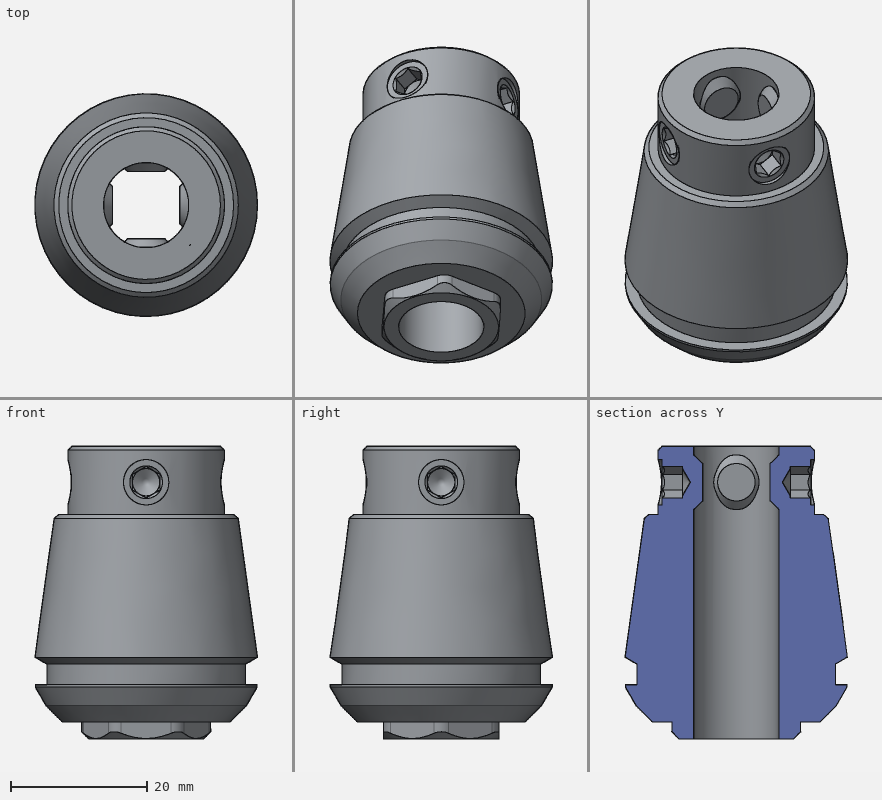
import cadquery as cq
import math

nut_height = 2.5
flange_bottom_radius = 12.3
flange_break_radius = 14.75
flange_radius = 32.6 / 2
groove_bottom_z = 8.0
groove_top_z = 11.0
groove_radius = 29.2 / 2
sleeve_radius = 32.71 / 2
sleeve_top_radius = 13.53
sleeve_top_z = 33.0
sleeve_edge_height = 0.6
sleeve_edge_width = 0.7
collar_radius = 23.0 / 2
collar_top_z = 43.0
collar_chamfer = 0.6
bore_diameter = 12.5

flange_upper_angle = math.radians(30)
groove_lip_angle = math.radians(30)

nut_across_flats = 17.0
nut_corner_fillet = 2.15
nut_bottom_radius = 8.4

screw_count = 4
screw_z = 37.7
screw_hole_diameter = 6.65
screw_diameter = 8.0
screw_tip_diameter = 5.5
screw_tip_distance = 4.93
screw_length = 6.0
socket_across_flats = 4.0
socket_mouth_diameter = 4.8
socket_depth = 3.0
socket_drill_angle = math.radians(60)


def turned_body():
    """Solid of revolution: flange, groove, tapered sleeve and collar."""
    flange_break_z = nut_height + flange_break_radius - flange_bottom_radius
    flange_rim_z = flange_break_z + (flange_radius - flange_break_radius) / math.tan(flange_upper_angle)
    sleeve_bottom_z = groove_top_z + (sleeve_radius - groove_radius) * math.tan(groove_lip_angle)
    profile = [
        (0, nut_height),
        (flange_bottom_radius, nut_height),
        (flange_break_radius, flange_break_z),
        (flange_radius, flange_rim_z),
        (flange_radius, groove_bottom_z),
        (groove_radius, groove_bottom_z),
        (groove_radius, groove_top_z),
        (sleeve_radius, sleeve_bottom_z),
        (sleeve_top_radius, sleeve_top_z - sleeve_edge_height),
        (sleeve_top_radius - sleeve_edge_width, sleeve_top_z),
        (collar_radius, sleeve_top_z),
        (collar_radius, collar_top_z - collar_chamfer),
        (collar_radius - collar_chamfer, collar_top_z),
        (0, collar_top_z),
    ]
    return cq.Workplane("XZ").polyline(profile).close().revolve(360, (0, 0), (0, 1))


def hexagon_diameter(across_flats):
    """Distance across the corners of a regular hexagon."""
    return across_flats / math.cos(math.radians(30))


def nut_end():
    """Hexagon with corners on X, rounded corners and a 45 degree bottom bevel."""
    hexagon = (
        cq.Workplane("XY")
        .polygon(6, hexagon_diameter(nut_across_flats))
        .extrude(nut_height)
        .edges("|Z")
        .fillet(nut_corner_fillet)
    )
    bevel = (
        cq.Workplane("XZ")
        .polyline([(0, 0), (nut_bottom_radius, 0), (nut_bottom_radius + nut_height, nut_height), (0, nut_height)])
        .close()
        .revolve(360, (0, 0), (0, 1))
    )
    return hexagon.intersect(bevel)


def set_screw():
    """Flat-point set screw along +X, with its hexagon socket facing outward."""
    outer_x = screw_tip_distance + screw_length
    tip_chamfer = (screw_diameter - screw_tip_diameter) / 2
    head_chamfer = (screw_diameter - screw_hole_diameter) / 2
    screw = (
        cq.Workplane("YZ", origin=(screw_tip_distance, 0, screw_z))
        .circle(screw_diameter / 2)
        .extrude(screw_length)
        .faces("<X")
        .chamfer(tip_chamfer)
        .faces(">X")
        .chamfer(head_chamfer)
    )
    socket = (
        cq.Workplane("YZ", origin=(outer_x, 0, screw_z))
        .transformed(rotate=(0, 0, 90))
        .polygon(6, hexagon_diameter(socket_across_flats))
        .extrude(-socket_depth)
    )
    drill_radius = socket_across_flats / 2
    mouth_radius = socket_mouth_diameter / 2
    drill_end_x = outer_x - socket_depth
    drill_point_x = drill_end_x - drill_radius / math.tan(socket_drill_angle)
    mouth_end_x = outer_x - (mouth_radius - drill_radius)
    drill_profile = [
        (drill_point_x, 0),
        (drill_end_x, drill_radius),
        (mouth_end_x, drill_radius),
        (outer_x, mouth_radius),
        (outer_x, 0),
    ]
    drill = (
        cq.Workplane("XZ", origin=(0, 0, screw_z))
        .polyline(drill_profile)
        .close()
        .revolve(360, (0, 0), (1, 0))
    )
    return screw.cut(socket).cut(drill)


def screw_hole():
    """Radial hole along +X, from inside the bore out through the collar."""
    return (
        cq.Workplane("YZ", origin=(0, 0, screw_z))
        .circle(screw_hole_diameter / 2)
        .extrude(collar_radius)
    )


def around_axis(shape, index):
    """Copy of a shape turned to its place around the part axis."""
    return shape.rotate((0, 0, 0), (0, 0, 1), index * 360 / screw_count)


bore = cq.Workplane("XY").circle(bore_diameter / 2).extrude(collar_top_z)

result = turned_body().union(nut_end()).cut(bore)

for i in range(screw_count):
    result = result.cut(around_axis(screw_hole(), i))

for i in range(screw_count):
    result = result.union(around_axis(set_screw(), i))